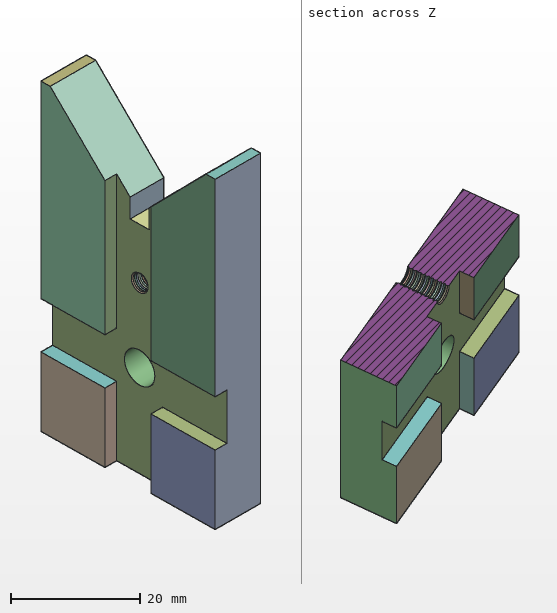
import cadquery as cq

WIDTH = 38.0
THICKNESS = 10.0
HEIGHT = 66.0

TOP_LAND = 2.05
RELIEF_WIDTH = 4.15
NOTCH_DEPTH = 19.0

CHANNEL_WIDTH = 10.0
CHANNEL_DEPTH = 2.6
CROSS_Z = 20.0

PLAIN_DIAMETER = 6.6
TAPPED_Z = 36.0
THREAD_MINOR = 3.25
THREAD_MAJOR = 3.6
THREAD_PITCH = 0.7
THREAD_CREST = 0.3


def make_plate():
    return cq.Workplane("XY").box(WIDTH, THICKNESS, HEIGHT, centered=(True, False, False))


def make_notch():
    top_half = WIDTH / 2 - TOP_LAND
    root_half = RELIEF_WIDTH / 2
    root_z = HEIGHT - (top_half - root_half)
    floor_z = HEIGHT - NOTCH_DEPTH
    return (
        cq.Workplane("XZ")
        .moveTo(-top_half, HEIGHT)
        .lineTo(-root_half, root_z)
        .lineTo(-root_half, floor_z)
        .lineTo(root_half, floor_z)
        .lineTo(root_half, root_z)
        .lineTo(top_half, HEIGHT)
        .close()
        .extrude(-THICKNESS)
    )


def make_channels():
    lengthwise = cq.Workplane("XY").box(
        CHANNEL_WIDTH, CHANNEL_DEPTH, HEIGHT, centered=(True, False, False)
    )
    crosswise = (
        cq.Workplane("XY")
        .box(WIDTH, CHANNEL_DEPTH, CHANNEL_WIDTH, centered=(True, False, True))
        .translate((0, 0, CROSS_Z))
    )
    return lengthwise.union(crosswise)


def make_plain_hole():
    """Clearance hole at the crossing of the two channels."""
    return cq.Workplane("XZ").center(0, CROSS_Z).circle(PLAIN_DIAMETER / 2).extrude(-THICKNESS)


def make_tapped_hole():
    """Thread simplified to ring grooves with flat crests, turned about the hole axis."""
    minor = THREAD_MINOR / 2
    major = THREAD_MAJOR / 2
    flank = (THREAD_PITCH - THREAD_CREST) / 2
    crest_count = int((THICKNESS - CHANNEL_DEPTH) / THREAD_PITCH)
    profile = cq.Workplane("XY").moveTo(0, CHANNEL_DEPTH).lineTo(major, CHANNEL_DEPTH)
    for crest in range(crest_count):
        root_y = CHANNEL_DEPTH + crest * THREAD_PITCH
        profile = (
            profile.lineTo(minor, root_y + flank)
            .lineTo(minor, root_y + flank + THREAD_CREST)
            .lineTo(major, root_y + THREAD_PITCH)
        )
    profile = profile.lineTo(major, THICKNESS).lineTo(0, THICKNESS).close()
    return profile.revolve(360, (0, 0), (0, 1)).translate((0, 0, TAPPED_Z))


result = (
    make_plate()
    .cut(make_notch())
    .cut(make_channels())
    .cut(make_plain_hole())
    .cut(make_tapped_hole())
)